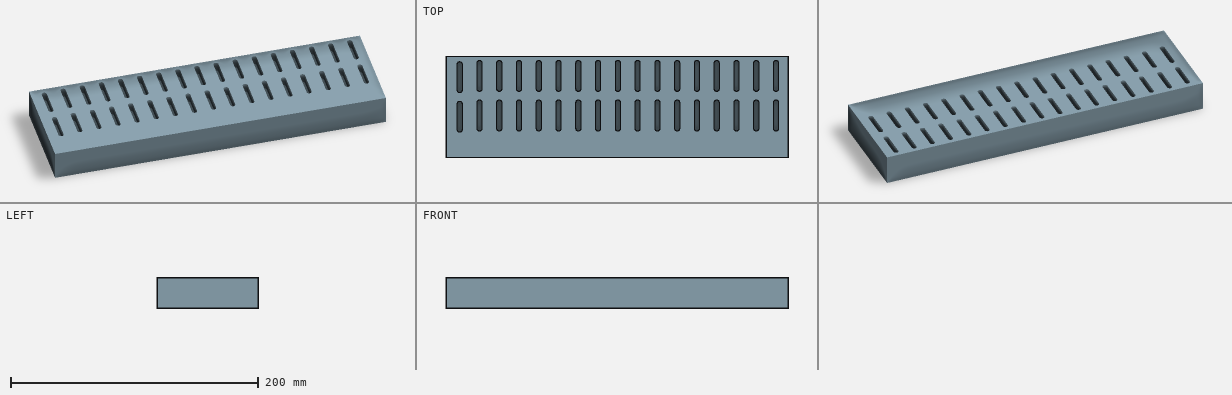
import cadquery as cq

block_length = 277.0
block_width = 82.0
block_height = 25.0

slot_length = 25.0
slot_width = 4.2
slot_depth = 8.0
column_count = 17
column_pitch = 16.0
row_pitch = 32.0
left_inset = 11.0
back_inset = 15.9
first_column_shift = 1.0

first_column_x = left_inset - block_length / 2
back_row_y = block_width / 2 - back_inset
front_row_y = back_row_y - row_pitch


def row_centres(row_y):
    """Slot centres of one row; its first slot is shifted toward the front face."""
    centres = [(first_column_x, row_y - first_column_shift)]
    for column in range(1, column_count):
        centres.append((first_column_x + column * column_pitch, row_y))
    return centres


def make_block():
    """Plain rectangular block."""
    return cq.Workplane("XY").box(
        block_length, block_width, block_height, centered=(True, True, False)
    )


def cut_slots(body, centres):
    """Cut blind slots down from the top face, their length along Y."""
    cutters = (
        cq.Workplane("XY")
        .workplane(offset=block_height)
        .pushPoints(centres)
        .slot2D(slot_length, slot_width, angle=90)
        .extrude(-slot_depth)
    )
    return body.cut(cutters)


slot_centres = row_centres(back_row_y) + row_centres(front_row_y)
result = cut_slots(make_block(), slot_centres)